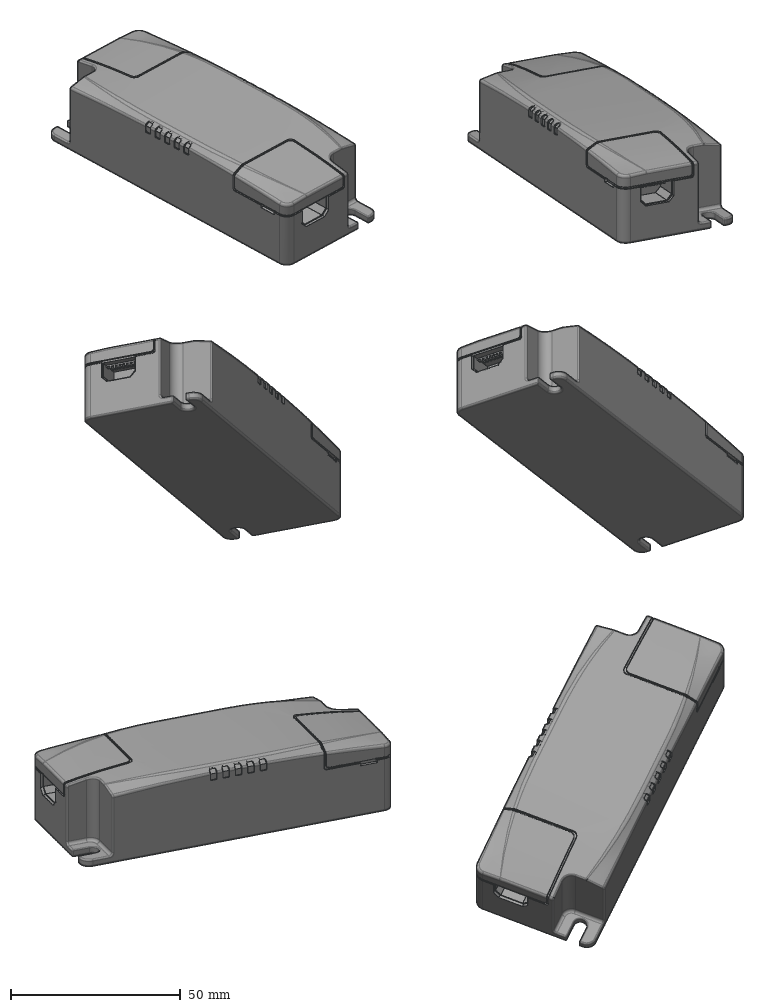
import cadquery as cq
import math

length = 100.0
width = 38.2
height = 25.0
half_length = length / 2
half_width = width / 2
corner_radius = 3.0
bottom_round = 0.6
crease_round = 2.0
top_round = 0.9
past = 2.0
select_margin = 0.1

roof_flat = 15.0
roof_drop = 3.3
side_height = 23.3
side_drop = 1.9
crease_inset = 2.4
crease_flat = 10.0
crease_bow = 6.2
station_step = 5.0

flange_thickness = 2.4
pocket_wall_x = 40.7
pocket_wall_y = 6.7
pocket_corner_radius = 3.0
pocket_floor_round = 1.0
pocket_rim_round = 0.5
screw_slot_width = 4.1
screw_slot_y = 12.9
screw_slot_end = 42.4
screw_slot_round = 0.3

cover_edge_x = 27.6
cover_edge_y = 5.0
cover_bottom = 17.2
cover_corner_radius = 1.6
cover_lower_round = 0.8
groove_width = 0.6
groove_depth = 0.5

window_low_y = 1.9
window_high_y = 12.3
window_bottom = 11.2
window_chamfer = 1.7
window_rim = 0.3
window_rim_depth = 0.9
window_depth = 8.0
clamp_setback = 2.5
clamp_thickness = 1.5
clamp_bottom = 16.7
tooth_height = 0.8
tooth_count = 7
tooth_pitch = 1.2
tooth_width = tooth_pitch / 2

pry_near_x = 39.3
pry_far_x = 44.7
pry_bottom = 16.4
pry_depth = 1.0

vent_count = 5
vent_pitch = 4.0
vent_width = 2.1
vent_bottom = 20.9
vent_top = 24.1
vent_depth = 0.4
vent_corner_radius = 0.4


def arc_fall(x, flat, fall):
    """Fall at x of a line that is straight up to 'flat', then a tangent arc losing 'fall' at the end."""
    run = half_length - flat
    radius = (run ** 2 + fall ** 2) / (2 * fall)
    reach = max(abs(x) - flat, 0)
    return radius - math.sqrt(radius ** 2 - reach ** 2)


def roof_section(x, inset):
    """Cross-section of the case at x, drawn in by 'inset' on the sides and the top."""
    side = half_width - inset
    edge = side_height - inset - arc_fall(x, 0, side_drop)
    crease = half_width - crease_inset - arc_fall(x, crease_flat, crease_bow)
    ridge = height - inset - arc_fall(x, roof_flat, roof_drop)
    points = [(-side, 0), (side, 0), (side, edge), (crease, ridge), (-crease, ridge), (-side, edge)]
    return cq.Wire.makePolygon([cq.Vector(x, y, z) for y, z in points], close=True)


def case_body(inset):
    """Case with rounded plan corners under the arched roof, drawn in by 'inset'."""
    last = math.ceil(half_length / station_step)
    stations = [half_length * i / last for i in range(-last, last + 1)]
    roof = cq.Workplane(cq.Solid.makeLoft([roof_section(x, inset) for x in stations]))
    plan = (
        cq.Workplane("XY")
        .rect(length - 2 * inset, width - 2 * inset)
        .extrude(height + past)
        .edges("|Z")
        .fillet(corner_radius - inset)
    )
    return plan.intersect(roof)


def block(x0, x1, y0, y1, z0, z1):
    """Box between two limits along each axis."""
    return cq.Workplane("XY").box(x1 - x0, y1 - y0, z1 - z0, centered=False).translate((x0, y0, z0))


def at_both_ends(shape):
    """The shape together with its copy turned half a turn about Z."""
    return shape.add(shape.rotate((0, 0, 0), (0, 0, 1), 180)).combine()


def mounting_pocket():
    """Open corner above a mounting flange, with rounded inner corner and floor."""
    return (
        block(-length, -pocket_wall_x, -width, -pocket_wall_y, flange_thickness, height + past)
        .edges("|Z and >X and >Y")
        .fillet(pocket_corner_radius)
        .faces("<Z")
        .edges(">X or >Y")
        .fillet(pocket_floor_round)
    )


def screw_slot():
    radius = screw_slot_width / 2
    centre_x = -screw_slot_end - radius
    slot = block(-length, centre_x, -screw_slot_y - radius, -screw_slot_y + radius, -past, height)
    end = cq.Workplane("XY").center(centre_x, -screw_slot_y).circle(radius).extrude(height)
    return slot.union(end)


def cover_block(inset):
    """Region of the case taken by a cover, drawn in by 'inset' from its outline."""
    return (
        block(
            -length, -cover_edge_x - inset,
            -cover_edge_y + inset, width,
            cover_bottom + inset, height + past,
        )
        .edges("|Z and >X and <Y")
        .fillet(cover_corner_radius)
        .faces("<Z")
        .edges(">X or <Y")
        .fillet(cover_lower_round)
    )


def cover_groove():
    return cover_block(0).cut(cover_block(groove_width)).cut(case_body(groove_depth))


def window_outline(x, grow, depth):
    """Window opening, enlarged by 'grow' and cut 'depth' deep from x."""
    return (
        block(x, x + depth, window_low_y - grow, window_high_y + grow, window_bottom - grow, cover_bottom)
        .edges("|X and <Z")
        .chamfer(window_chamfer)
    )


def clamp_bar():
    bar_x = -half_length + clamp_setback
    bar = block(bar_x, bar_x + clamp_thickness, window_low_y, window_high_y, clamp_bottom, cover_bottom)
    middle_y = (window_low_y + window_high_y) / 2
    for i in range(tooth_count):
        tooth_y = middle_y + (i - (tooth_count - 1) / 2) * tooth_pitch
        tooth = block(
            bar_x, bar_x + clamp_thickness,
            tooth_y - tooth_width / 2, tooth_y + tooth_width / 2,
            clamp_bottom - tooth_height, cover_bottom,
        )
        bar = bar.union(tooth)
    return bar


def cable_window():
    rim = window_outline(-half_length, window_rim, window_rim_depth)
    return window_outline(-half_length, 0, window_depth).union(rim).cut(clamp_bar())


def pry_slot():
    return block(
        -pry_far_x, -pry_near_x, half_width - pry_depth, half_width, pry_bottom, cover_bottom + groove_width
    )


def vents():
    row = cq.Workplane("XY")
    for i in range(vent_count):
        x = (i - (vent_count - 1) / 2) * vent_pitch
        vent = block(x - vent_width / 2, x + vent_width / 2, -width, width, vent_bottom, vent_top)
        row = row.add(vent.edges("|Y").fillet(vent_corner_radius))
    return row.combine().cut(case_body(vent_depth))


def is_roof_rim(edge):
    """True for the edges where the roof meets the side walls, the end walls and the plan corners."""
    middle = edge.positionAt(0.5)
    corner_middle = corner_radius * (1 - math.sqrt(0.5))
    on_side = abs(middle.y) > half_width - corner_middle - select_margin
    on_end = abs(middle.x) > half_length - corner_middle - select_margin
    level = abs(edge.tangentAt(0.5).z) < 0.5
    return (on_side or on_end) and level and middle.z > height / 2


def rounded_case():
    case = case_body(0)
    crease_zone = cq.selectors.BoxSelector(
        (-past, -half_width + past / 2, height - past), (past, half_width - past / 2, height + past)
    )
    case = case.edges(crease_zone).fillet(crease_round)
    rim = case.edges().filter(is_roof_rim)
    return rim.fillet(top_round)


def round_pocket_rims(case):
    """Round the pocket rims; each is one smooth loop from flange to roof and back."""
    at_flange_top = cq.selectors.BoxSelector(
        (-length, -width, flange_thickness - select_margin), (length, width, flange_thickness + select_margin)
    )
    return case.edges(at_flange_top).edges("<X or >X").fillet(pocket_rim_round)


def round_slot_rims(case):
    """Round the upper rims of the screw slots, found by their rounded inner ends."""
    for side in (-1, 1):
        slot_end = (side * screw_slot_end, side * screw_slot_y, flange_thickness)
        rim = case.edges(cq.selectors.NearestToPointSelector(slot_end))
        case = rim.fillet(screw_slot_round)
    return case


case = rounded_case()
case = round_pocket_rims(case.cut(at_both_ends(mounting_pocket())))
case = case.cut(at_both_ends(screw_slot()))
case = case.faces("<Z").edges().fillet(bottom_round)
case = round_slot_rims(case)
for cutter in (cover_groove(), cable_window(), pry_slot()):
    case = case.cut(at_both_ends(cutter))
result = case.cut(vents())